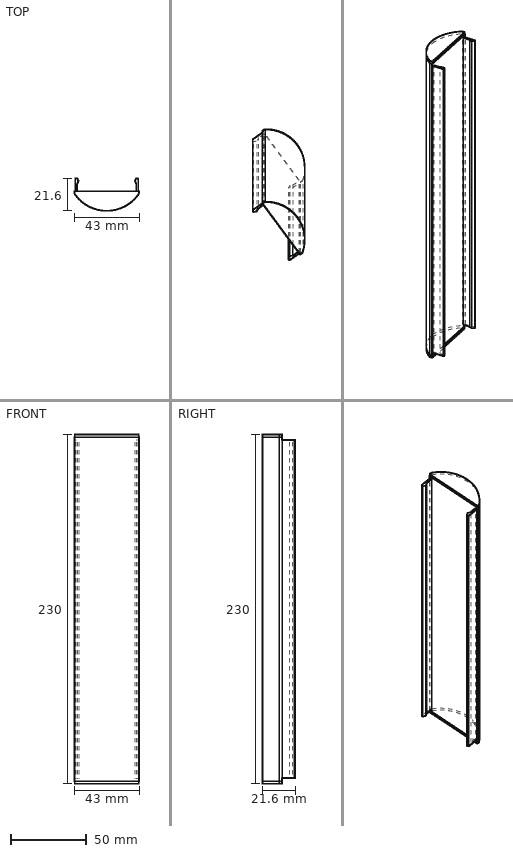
import cadquery as cq

total_length = 230.0
total_width = 43.0
total_depth = 21.6

lens_depth = 13.0
shoulder_depth = 2.0
shoulder_width = 42.0

leg_length = 222.6
leg_thickness = 1.4
leg_span = 41.6
leg_tip_bevel = 0.5
leg_height = total_depth - lens_depth
hook_reach = 1.0
hook_peak_drop = 1.8
hook_height = 4.0

cap_thickness = 1.8
cap_width = 42.3


def lens_prism(bottom_z, height):
    """Upright prism of the lens outline: flat back, beveled edges and a domed front."""
    half_width = total_width / 2
    half_shoulder = shoulder_width / 2
    return (
        cq.Workplane("XY", origin=(0, 0, bottom_z))
        .moveTo(half_width, 0)
        .lineTo(half_shoulder, -shoulder_depth)
        .threePointArc((0, -lens_depth), (-half_shoulder, -shoulder_depth))
        .lineTo(-half_width, 0)
        .close()
        .extrude(height)
    )


def right_leg():
    """Snap leg on the +X side, with a pointed hook facing inward at its tip."""
    outer_x = leg_span / 2
    inner_x = outer_x - leg_thickness
    return (
        cq.Workplane("XY", origin=(0, 0, (total_length - leg_length) / 2))
        .moveTo(outer_x, 0)
        .lineTo(outer_x, leg_height - leg_tip_bevel)
        .lineTo(outer_x - leg_tip_bevel, leg_height)
        .lineTo(inner_x, leg_height)
        .lineTo(inner_x - hook_reach, leg_height - hook_peak_drop)
        .lineTo(inner_x, leg_height - hook_height)
        .lineTo(inner_x, 0)
        .close()
        .extrude(leg_length)
    )


def make_diffuser():
    """Solid bar between the caps and both legs, as one body."""
    bar = lens_prism(cap_thickness, total_length - 2 * cap_thickness)
    leg = right_leg()
    return bar.union(leg).union(leg.mirror("YZ"))


def make_end_cap(bottom_z):
    """Flat plate with the lens outline, trimmed straight at both sharp edges."""
    trim_block = cq.Workplane("XY").box(cap_width, 2 * total_depth, 2 * total_length)
    return lens_prism(bottom_z, cap_thickness).intersect(trim_block)


diffuser = make_diffuser()
end_caps = [make_end_cap(z) for z in (0, total_length - cap_thickness)]

result = cq.Compound.makeCompound([diffuser.val(), *[cap.val() for cap in end_caps]])